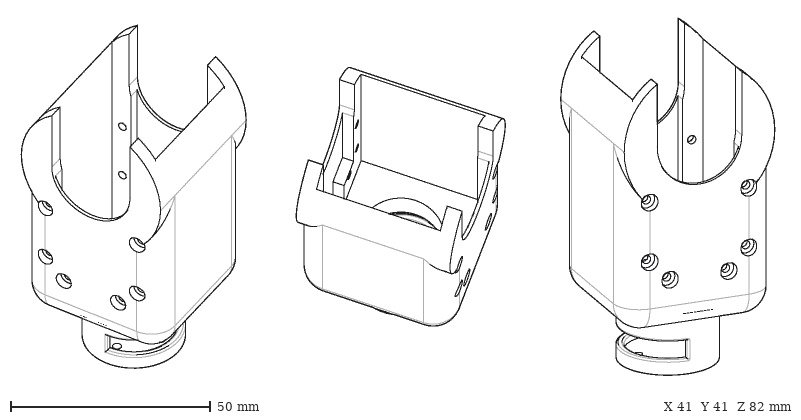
import cadquery as cq

body_width = 41.0
body_radius = body_width / 2
edge_radius = 7.0
head_axis_z = 50.0

wall = 4.0
cavity_width = body_width - 2 * wall
cavity_floor_z = wall

slot_radius = 11.5

recess_half_width = 11.0
recess_wall = 1.0
recess_depth = wall - recess_wall

screw_diameter = 2.2
head_diameter = 4.4
head_depth = 2.2
side_screw_x = body_radius - edge_radius
side_screw_heights = (19.5, 35.5)
pad_screw_x = 8.0
pad_screw_z = 14.0

pad_inner_x = 4.0
pad_cover = 0.3
pad_top_z = pad_screw_z + head_diameter / 2 + pad_cover

spigot_diameter = 26.0
spigot_bore = 22.0
spigot_length = 15.0
spigot_floor = 2.0
floor_hole_diameter = 2.2
floor_hole_circle = 16.0
floor_hole_count = 4

window_height = 5.0
window_sill = 4.0
window_bottom_z = window_sill - spigot_length
window_edge_radius = 0.5

head_top_z = head_axis_z + body_radius


def box(x_range, y_range, z_range):
    """Axis-aligned box between the given limits."""
    size = [high - low for low, high in (x_range, y_range, z_range)]
    corner = (x_range[0], y_range[0], z_range[0])
    return cq.Workplane("XY").box(*size, centered=False).translate(corner)


def cylinder_along_y(radius, x, z, y_start, y_end):
    """Cylinder parallel to Y between two Y positions."""
    profile = cq.Workplane("XZ", origin=(0, y_end, 0)).center(x, z).circle(radius)
    return profile.extrude(y_end - y_start)


def cylinder_along_z(diameter, z_start, z_end):
    """Cylinder on the Z axis between two heights."""
    return cq.Workplane("XY", origin=(0, 0, z_start)).circle(diameter / 2).extrude(z_end - z_start)


def make_body():
    lower = cq.Workplane("XY").rect(body_width, body_width).extrude(head_axis_z)
    lower = lower.edges("|Z").fillet(edge_radius).faces("<Z").edges().fillet(edge_radius)
    head = cylinder_along_y(body_radius, 0, head_axis_z, -body_radius, body_radius)
    return lower.union(head)


def make_cavity():
    half = cavity_width / 2
    return box((-half, half), (-half, half), (cavity_floor_z, head_top_z))


def make_recesses():
    """Recesses in the front and back walls, less the pads around the lower screws."""
    reach = cavity_width / 2 + recess_depth
    x_limits = (-recess_half_width, recess_half_width)
    upper = box(x_limits, (-reach, reach), (pad_top_z, head_axis_z))
    channel = box((-pad_inner_x, pad_inner_x), (-reach, reach), (cavity_floor_z, pad_top_z))
    return upper.union(channel)


def make_slot():
    round_end = cylinder_along_y(slot_radius, 0, head_axis_z, -body_radius, body_radius)
    straight = box((-slot_radius, slot_radius), (-body_radius, body_radius), (head_axis_z, head_top_z))
    return round_end.union(straight)


def make_screw_hole(x, z):
    """Screw hole through both walls, counterbored from both outer faces."""
    seat = body_radius - head_depth
    hole = cylinder_along_y(screw_diameter / 2, x, z, -body_radius, body_radius)
    front = cylinder_along_y(head_diameter / 2, x, z, -body_radius, -seat)
    back = cylinder_along_y(head_diameter / 2, x, z, seat, body_radius)
    return hole.union(front).union(back)


def make_spigot():
    """Tube with a side window, closed at the bottom by a drilled floor."""
    radius = spigot_diameter / 2
    window_z = (window_bottom_z, window_bottom_z + window_height)
    tube = cylinder_along_z(spigot_diameter, -spigot_length, 0)
    tube = tube.cut(cylinder_along_z(spigot_bore, -spigot_length, 0))
    tube = tube.cut(box((0, radius), (-radius, radius), window_z))

    slack = window_edge_radius / 2
    window_region = cq.selectors.BoxSelector(
        (-slack, -radius - slack, window_z[0] - slack),
        (radius + slack, radius + slack, window_z[1] + slack),
        boundingbox=True,
    )
    tube = tube.edges(window_region - cq.selectors.StringSyntaxSelector("|Y")).fillet(window_edge_radius)

    floor_top_z = spigot_floor - spigot_length
    floor = cylinder_along_z(spigot_diameter, -spigot_length, floor_top_z)
    holes = cq.Workplane("XY", origin=(0, 0, -spigot_length))
    holes = holes.polarArray(floor_hole_circle / 2, 0, 360, floor_hole_count)
    holes = holes.circle(floor_hole_diameter / 2).extrude(spigot_floor)
    return tube.union(floor).cut(holes)


result = make_body()
result = result.cut(make_cavity()).cut(make_recesses()).cut(make_slot())
for side in (-1, 1):
    for height in side_screw_heights:
        result = result.cut(make_screw_hole(side * side_screw_x, height))
    result = result.cut(make_screw_hole(side * pad_screw_x, pad_screw_z))
result = result.cut(cylinder_along_z(spigot_bore, 0, cavity_floor_z))
result = result.union(make_spigot())